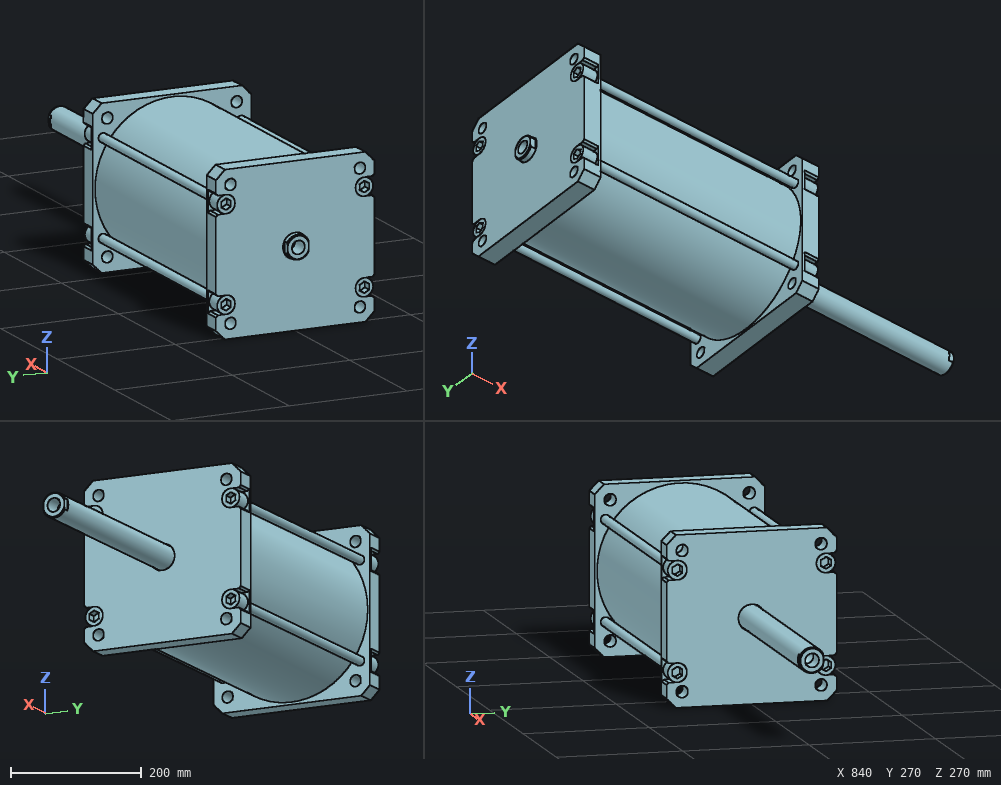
import cadquery as cq
import math

TOTAL_LENGTH = 840.0
PLATE_SIDE = 270.0
PLATE_THICKNESS = 33.0
PLATE_CORNER_CHAMFER = 15.0
REAR_STUB_LENGTH = 11.0
BARREL_LENGTH = 400.0
BARREL_DIAMETER = 262.0

MOUNT_HOLE_DIAMETER = 18.5
MOUNT_HOLE_OFFSET = 110.0

TIE_ROD_DIAMETER = 15.0
TIE_ROD_OFFSET_Y = 118.0
TIE_ROD_OFFSET_Z = 80.0
HEAD_DIAMETER = 30.0
HEAD_LENGTH = 28.0
SOCKET_FLATS = 16.0
SOCKET_DEPTH = 15.0
POCKET_MOUTH_CHAMFER = 3.0

PISTON_ROD_DIAMETER = 40.0
PLATE_BORE_DIAMETER = 42.0
PISTON_ROD_FLATS = 36.0
FLAT_LENGTH = 10.0
END_CHAMFER = 2.0
END_HOLE_DIAMETER = 22.0
END_HOLE_DEPTH = 34.0
DRILL_TIP_DEPTH = 7.0

REAR_END = -TOTAL_LENGTH / 2
FRONT_END = TOTAL_LENGTH / 2
REAR_PLATE_OUTER = REAR_END + REAR_STUB_LENGTH
BARREL_REAR = REAR_PLATE_OUTER + PLATE_THICKNESS
BARREL_FRONT = BARREL_REAR + BARREL_LENGTH
FRONT_PLATE_OUTER = BARREL_FRONT + PLATE_THICKNESS

TIE_ROD_POINTS = [
    (side_y * TIE_ROD_OFFSET_Y, side_z * TIE_ROD_OFFSET_Z)
    for side_y in (-1, 1)
    for side_z in (-1, 1)
]


def cylinder_x(diameter, x_start, x_end, y=0, z=0):
    """Cylinder along X between two X positions."""
    return (
        cq.Workplane("YZ", origin=(x_start, y, z))
        .circle(diameter / 2)
        .extrude(x_end - x_start)
    )


def head_pocket(y, z, x_start, x_end):
    """Round-bottomed slot with a chamfered mouth on the nearest Y side of a plate."""
    direction = math.copysign(1, y)
    side_y = direction * PLATE_SIDE / 2
    chamfer_start_y = side_y - direction * POCKET_MOUTH_CHAMFER
    half_width = HEAD_DIAMETER / 2
    half_mouth = half_width + POCKET_MOUTH_CHAMFER
    return (
        cq.Workplane("YZ", origin=(x_start, 0, 0))
        .moveTo(side_y, z - half_mouth)
        .lineTo(chamfer_start_y, z - half_width)
        .lineTo(y, z - half_width)
        .threePointArc((y - direction * half_width, z), (y, z + half_width))
        .lineTo(chamfer_start_y, z + half_width)
        .lineTo(side_y, z + half_mouth)
        .close()
        .extrude(x_end - x_start)
    )


def make_end_plate(x_start, pocket_start):
    """Square end plate with mounting holes, a rod bore and tie rod seats."""
    x_end = x_start + PLATE_THICKNESS
    plate = (
        cq.Workplane("YZ", origin=(x_start, 0, 0))
        .rect(PLATE_SIDE, PLATE_SIDE)
        .extrude(PLATE_THICKNESS)
        .edges("|X")
        .chamfer(PLATE_CORNER_CHAMFER)
        .faces("<X")
        .workplane(origin=(0, 0, 0))
        .rect(2 * MOUNT_HOLE_OFFSET, 2 * MOUNT_HOLE_OFFSET, forConstruction=True)
        .vertices()
        .hole(MOUNT_HOLE_DIAMETER)
    )
    plate = plate.cut(cylinder_x(PLATE_BORE_DIAMETER, x_start, x_end))
    for y, z in TIE_ROD_POINTS:
        plate = plate.cut(cylinder_x(TIE_ROD_DIAMETER, x_start, x_end, y, z))
        plate = plate.cut(head_pocket(y, z, pocket_start, pocket_start + HEAD_LENGTH))
    return plate


def make_barrel():
    """Round cylinder body with a bore for the piston rod."""
    barrel = cylinder_x(BARREL_DIAMETER, BARREL_REAR, BARREL_FRONT)
    return barrel.cut(cylinder_x(PISTON_ROD_DIAMETER, BARREL_REAR, BARREL_FRONT))


def hex_socket(outer_x, inward, y, z):
    """Hexagonal recess in a head, with two of its corners along Z."""
    corner_diameter = SOCKET_FLATS / math.cos(math.pi / 6)
    return (
        cq.Workplane("YZ", origin=(outer_x, y, z))
        .transformed(rotate=(0, 0, 90))
        .polygon(6, corner_diameter)
        .extrude(inward * SOCKET_DEPTH)
    )


def make_tie_rod(y, z):
    """Tie rod with a socketed head sunk flush in each end plate."""
    tie_rod = cylinder_x(TIE_ROD_DIAMETER, REAR_PLATE_OUTER, FRONT_PLATE_OUTER, y, z)
    for outer_x, inward in ((REAR_PLATE_OUTER, 1), (FRONT_PLATE_OUTER, -1)):
        head = cylinder_x(HEAD_DIAMETER, outer_x, outer_x + inward * HEAD_LENGTH, y, z)
        tie_rod = tie_rod.union(head).cut(hex_socket(outer_x, inward, y, z))
    return tie_rod


def end_hole(x_end, inward):
    """Drilled hole with a conical tip, entering one end of the piston rod."""
    hole_radius = END_HOLE_DIAMETER / 2
    wall_end = x_end + inward * END_HOLE_DEPTH
    tip = wall_end + inward * DRILL_TIP_DEPTH
    return (
        cq.Workplane("XY")
        .polyline([(x_end, 0), (x_end, hole_radius), (wall_end, hole_radius), (tip, 0)])
        .close()
        .revolve(360, (0, 0, 0), (1, 0, 0))
    )


def wrench_flats(x_start, x_end):
    """Material removed from both Y sides of the piston rod over a length in X."""
    length = x_end - x_start
    cutter = cq.Workplane("XY").box(length, 2 * PISTON_ROD_DIAMETER, PISTON_ROD_DIAMETER)
    core = cq.Workplane("XY").box(length, PISTON_ROD_FLATS, PISTON_ROD_DIAMETER)
    return cutter.cut(core).translate(((x_start + x_end) / 2, 0, 0))


def make_piston_rod():
    """Through rod with chamfered, flatted and drilled ends."""
    rod = cylinder_x(PISTON_ROD_DIAMETER, REAR_END, FRONT_END).faces("<X or >X").chamfer(END_CHAMFER)
    rod = rod.cut(wrench_flats(REAR_END, REAR_END + FLAT_LENGTH))
    rod = rod.cut(wrench_flats(FRONT_END - FLAT_LENGTH, FRONT_END))
    return rod.cut(end_hole(REAR_END, 1)).cut(end_hole(FRONT_END, -1))


rear_plate = make_end_plate(REAR_PLATE_OUTER, REAR_PLATE_OUTER)
front_plate = make_end_plate(BARREL_FRONT, FRONT_PLATE_OUTER - HEAD_LENGTH)
barrel = make_barrel()
piston_rod = make_piston_rod()
tie_rods = [make_tie_rod(y, z) for y, z in TIE_ROD_POINTS]

result = cq.Compound.makeCompound(
    [rear_plate.val(), front_plate.val(), barrel.val(), piston_rod.val()]
    + [tie_rod.val() for tie_rod in tie_rods]
)